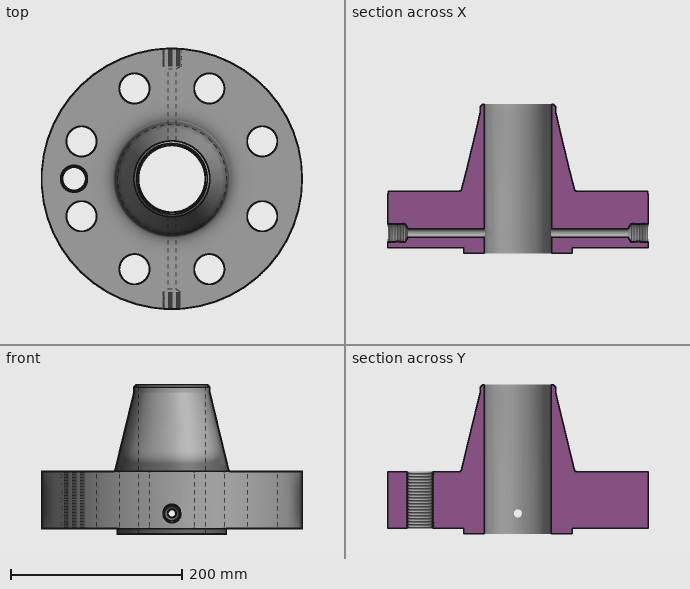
import cadquery as cq
import math

flange_diameter = 304.8
flange_thickness = 66.8
raised_face_diameter = 127.5
raised_face_height = 6.5
flange_top = raised_face_height + flange_thickness

overall_height = 174.5
bore_diameter = 78.0
hub_base_diameter = 133.5
hub_fillet = 2.7
neck_diameter = 88.7
neck_length = 6.0
bevel_diameter = 82.5
bevel_height = 3.0
bevel_bottom = overall_height - bevel_height
neck_bottom = bevel_bottom - neck_length

bolt_hole_count = 8
bolt_hole_diameter = 35.0
bolt_circle_diameter = 228.5

jack_major_diameter = 31.5
jack_minor_diameter = 27.0
jack_groove_count = 19

tap_height = 24.0
tap_major_diameter = 21.5
tap_minor_diameter = 17.7
tap_depth = 20.0
tap_groove_count = 11
tap_drill_diameter = 9.5
tap_tip_angle = 118.0


def flange_body():
    """Disc, raised face and tapered neck, revolved about Z and bored through."""
    body = (
        cq.Workplane("XZ")
        .lineTo(raised_face_diameter / 2, 0)
        .lineTo(raised_face_diameter / 2, raised_face_height)
        .lineTo(flange_diameter / 2, raised_face_height)
        .lineTo(flange_diameter / 2, flange_top)
        .lineTo(hub_base_diameter / 2, flange_top)
        .lineTo(neck_diameter / 2, neck_bottom)
        .lineTo(neck_diameter / 2, bevel_bottom)
        .lineTo(bevel_diameter / 2, overall_height)
        .lineTo(0, overall_height)
        .close()
        .revolve(360, (0, 0), (0, 1))
    )
    second_largest_circle = cq.selectors.RadiusNthSelector(-2)
    body = body.edges("%CIRCLE").edges(second_largest_circle).fillet(hub_fillet)
    return body.faces(">Z").workplane().hole(bore_diameter)


def bolt_holes():
    """Cutter for the bolt holes, which straddle the X and Y axes."""
    half_step = 180 / bolt_hole_count
    return (
        cq.Workplane("XY")
        .polarArray(bolt_circle_diameter / 2, half_step, 360, bolt_hole_count)
        .circle(bolt_hole_diameter / 2)
        .extrude(flange_top)
    )


def threaded_hole(major_diameter, minor_diameter, groove_count, length):
    """Cutter along Z from z = 0, its thread simplified to a stack of V-shaped rings."""
    pitch = length / groove_count
    profile = cq.Workplane("XZ").lineTo(major_diameter / 2, 0)
    for groove in range(groove_count):
        profile = profile.lineTo(minor_diameter / 2, (groove + 0.5) * pitch)
        profile = profile.lineTo(major_diameter / 2, (groove + 1) * pitch)
    return profile.lineTo(0, length).close().revolve(360, (0, 0), (0, 1))


def jack_screw_hole():
    """Cutter for the threaded through hole on the bolt circle at -X."""
    hole = threaded_hole(jack_major_diameter, jack_minor_diameter, jack_groove_count, flange_thickness)
    return hole.translate((-bolt_circle_diameter / 2, 0, raised_face_height))


def pressure_tap(side_angle):
    """Cutter for a radial tap from the rim to the bore, turned about Z from the -Y side."""
    rim = flange_diameter / 2
    thread_bottom = rim - tap_depth
    bottom_radius = tap_major_diameter / 2
    tip_height = bottom_radius / math.tan(math.radians(tap_tip_angle / 2))
    thread = threaded_hole(tap_major_diameter, tap_minor_diameter, tap_groove_count, tap_depth)
    tip = (
        cq.Workplane("XZ")
        .moveTo(0, thread_bottom - tip_height)
        .lineTo(bottom_radius, thread_bottom)
        .lineTo(0, thread_bottom)
        .close()
        .revolve(360, (0, 0), (0, 1))
    )
    drilling = cq.Workplane("XY").circle(tap_drill_diameter / 2).extrude(thread_bottom)
    cutter = thread.translate((0, 0, thread_bottom)).union(tip).union(drilling)
    cutter = cutter.rotate((0, 0, 0), (1, 0, 0), 90).rotate((0, 0, 0), (0, 0, 1), side_angle)
    return cutter.translate((0, 0, tap_height))


result = flange_body().cut(bolt_holes()).cut(jack_screw_hole())
for side_angle in (0, 180):
    result = result.cut(pressure_tap(side_angle))